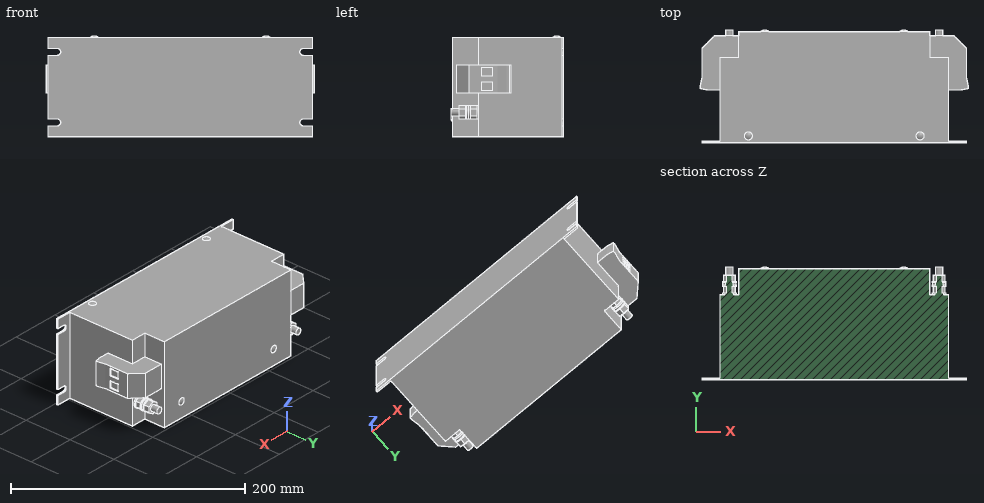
import cadquery as cq


height = 85.0
plate_width = 225.8
plate_thickness = 1.5
housing_width = 195.0
housing_depth = 95.0
rear_width = 163.0
step_y = 72.8

slot_width = 5.7
slot_length = 10.8
slot_edge_distance = 12.4

overall_width = 229.0
block_width = plate_width
block_bottom = 37.3
block_height = 12.1
block_count = 2
block_rear_y = 91.5
block_chamfer = 10.8
flare_start_y = 56.0
lip_rear_y = 48.5
lip_front_y = 46.3
block_front_y = 45.0
front_flat_width = 217.0
window_y = 65.5
window_length = 9.2
window_height = 7.0
window_depth = 1.1

stud_x = (housing_width + rear_width) / 4
stud_z = 21.0
stud_diameter = 6.5
stud_end_y = 96.5
nut_corner_diameter = 12.0
washer_diameter = 12.0
small_washer_diameter = 11.5

stud_stack = [
    ("washer", 1.4),
    ("nut", 5.5),
    ("washer", 1.4),
    ("small washer", 2.0),
    ("washer", 0.7),
    ("nut", 5.5),
]

screw_radius = 3.5
screw_head_height = 1.4
top_screw_x = 73.3
top_screw_y = 6.0
rear_screw_x = 59.3
rear_screw_z = 16.5

embed = 0.5


def make_housing():
    """Stepped housing with the thin mounting plate across its front."""
    plate = cq.Workplane("XY").box(plate_width, plate_thickness, height, centered=(True, False, False))
    main = cq.Workplane("XY").box(housing_width, step_y, height, centered=(True, False, False))
    rear = cq.Workplane("XY").box(rear_width, housing_depth, height, centered=(True, False, False))
    return main.union(rear).union(plate)


def cut_plate_slots(body):
    """Cut a round-ended slot into each side edge, near top and bottom."""
    for side in (-1, 1):
        for z in (slot_edge_distance, height - slot_edge_distance):
            slot = (
                cq.Workplane("XZ")
                .center(side * plate_width / 2, z)
                .slot2D(2 * slot_length, slot_width)
                .extrude(-plate_thickness)
            )
            body = body.cut(slot)
    return body


def make_terminal_block(bottom):
    """One left-hand terminal block with a flared lip and a recessed window."""
    outer_x = -block_width / 2
    lip_x = -overall_width / 2
    rear_inner_x = -rear_width / 2 + embed
    front_inner_x = -housing_width / 2 + embed
    block = (
        cq.Workplane("XY", origin=(0, 0, bottom))
        .moveTo(rear_inner_x, block_rear_y)
        .lineTo(outer_x + block_chamfer, block_rear_y)
        .lineTo(outer_x, block_rear_y - block_chamfer)
        .lineTo(outer_x, flare_start_y)
        .lineTo(lip_x, lip_rear_y)
        .lineTo(lip_x, lip_front_y)
        .lineTo(-front_flat_width / 2, block_front_y)
        .lineTo(front_inner_x, block_front_y)
        .lineTo(front_inner_x, step_y - embed)
        .lineTo(rear_inner_x, step_y - embed)
        .close()
        .extrude(block_height)
    )
    window = cq.Workplane("XY").box(2 * window_depth, window_length, window_height)
    return block.cut(window.translate((outer_x, window_y, bottom + block_height / 2)))


def make_ground_stud():
    """Left-hand threaded stud along Y, with its nuts and washers."""
    center = (-stud_x, stud_z)
    stud_start_y = step_y - embed
    stud = (
        cq.Workplane("XZ", origin=(0, stud_start_y, 0))
        .center(*center)
        .circle(stud_diameter / 2)
        .extrude(stud_start_y - stud_end_y)
    )
    y = step_y
    for kind, thickness in stud_stack:
        base = cq.Workplane("XZ", origin=(0, y, 0)).center(*center)
        if kind == "nut":
            profile = base.transformed(rotate=(0, 0, 90)).polygon(6, nut_corner_diameter)
        elif kind == "small washer":
            profile = base.circle(small_washer_diameter / 2)
        else:
            profile = base.circle(washer_diameter / 2)
        stud = stud.union(profile.extrude(-thickness))
        y += thickness
    return stud


def make_screw_head():
    """Dome on the XY plane, rising along +Z from a short embedded shank."""
    sphere_radius = (screw_radius**2 + screw_head_height**2) / (2 * screw_head_height)
    mid_radius = screw_radius / 2
    mid_height = (sphere_radius**2 - mid_radius**2) ** 0.5 - sphere_radius + screw_head_height
    return (
        cq.Workplane("XZ")
        .moveTo(0, -embed)
        .lineTo(screw_radius, -embed)
        .lineTo(screw_radius, 0)
        .threePointArc((mid_radius, mid_height), (0, screw_head_height))
        .close()
        .revolve(360, (0, 0, 0), (0, 1, 0))
    )


def add_screws(body):
    """Two screws on the top face and two on the rear face."""
    top_head = make_screw_head()
    rear_head = top_head.rotate((0, 0, 0), (1, 0, 0), -90)
    for side in (-1, 1):
        body = body.union(top_head.translate((side * top_screw_x, top_screw_y, height)))
        body = body.union(rear_head.translate((side * rear_screw_x, housing_depth, rear_screw_z)))
    return body


def add_to_both_sides(body, left_part):
    """Join a left-hand part and its mirror image, keeping seams between parts."""
    return body.union(left_part, clean=False).union(left_part.mirror("YZ"), clean=False)


result = add_screws(cut_plate_slots(make_housing()))
result = add_to_both_sides(result, make_ground_stud())
for index in range(block_count):
    result = add_to_both_sides(result, make_terminal_block(block_bottom + index * block_height))